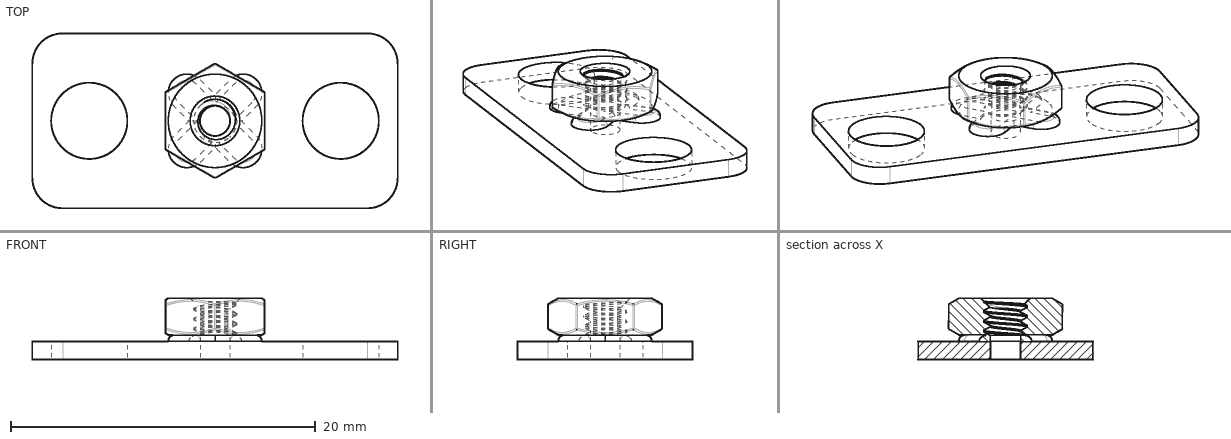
import cadquery as cq
import math

plate_length = 23.98
plate_width = 11.49
plate_thickness = 1.2
plate_corner_radius = 2.0
mount_hole_diameter = 4.99
mount_hole_spacing = 16.5

total_height = 4.03
nut_across_flats = 6.52
nut_edge_radius = 0.12
corner_on_y_turn = 30.0
nut_face_radius = 3.07
nut_chamfer_angle = 30.0
foot_angles = (45, 135)
foot_height = 0.4
foot_offset = 1.85
foot_radius = 1.22
foot_rounding = 0.38

bore_radius = 0.98
countersink_radius = 1.63
thread_pitch = 0.65
thread_root_radius = 1.41
thread_root_width = 0.1
thread_mouth_width = 0.55
thread_start = 0.4
bore_overlap = 0.05

nut_bottom = plate_thickness + foot_height
nut_height = total_height - nut_bottom
nut_corner_radius = nut_across_flats / math.sqrt(3)


def make_plate():
    """Flat plate with round corners, two mounting holes and the bore opening."""
    return (
        cq.Workplane("XY")
        .rect(plate_length, plate_width)
        .extrude(plate_thickness)
        .edges("|Z")
        .fillet(plate_corner_radius)
        .faces(">Z")
        .workplane()
        .rarray(mount_hole_spacing, 0.25, 2, 1)
        .hole(mount_hole_diameter)
        .faces(">Z")
        .workplane()
        .hole(2 * bore_radius)
    )


def make_hexagon():
    """Nut blank with two corners on Y, both ends chamfered by a cone and the flats edged with fillets."""
    prism = (
        cq.Workplane("XY", origin=(0, 0, nut_bottom))
        .polygon(6, 2 * nut_corner_radius)
        .extrude(nut_height)
        .rotate((0, 0, 0), (0, 0, 1), corner_on_y_turn)
    )
    chamfer_drop = (nut_corner_radius - nut_face_radius) * math.tan(math.radians(nut_chamfer_angle))
    chamfer_envelope = (
        cq.Workplane("XZ")
        .moveTo(0, nut_bottom)
        .lineTo(nut_face_radius, nut_bottom)
        .lineTo(nut_corner_radius, nut_bottom + chamfer_drop)
        .lineTo(nut_corner_radius, total_height - chamfer_drop)
        .lineTo(nut_face_radius, total_height)
        .lineTo(0, total_height)
        .close()
        .revolve(360, (0, 0, 0), (0, 1, 0))
    )
    blank = prism.intersect(chamfer_envelope)
    return blank.faces("#Z").edges().fillet(nut_edge_radius)


def make_foot(angle):
    """Round-ended bar under the nut, lying across the axis, with its upper edge rounded."""
    foot_length = 2 * (foot_offset * math.sqrt(2) + foot_radius)
    return (
        cq.Workplane("XY", origin=(0, 0, plate_thickness))
        .slot2D(foot_length, 2 * foot_radius, angle)
        .extrude(foot_height)
        .faces(">Z")
        .edges()
        .fillet(foot_rounding)
    )


def make_thread_groove():
    """Helical groove of trapezoidal section, bounded by ruled faces between its four corner helices."""
    groove_height = total_height + thread_pitch - thread_start
    flank_slope = (thread_mouth_width - thread_root_width) / (thread_root_radius - bore_radius)
    inner_radius = bore_radius - bore_overlap
    inner_width = thread_mouth_width + flank_slope * bore_overlap
    section = [
        (inner_radius, -inner_width / 2),
        (thread_root_radius, -thread_root_width / 2),
        (thread_root_radius, thread_root_width / 2),
        (inner_radius, inner_width / 2),
    ]
    helices = [
        cq.Wire.makeHelix(thread_pitch, groove_height, radius)
        .translate(cq.Vector(0, 0, thread_start + offset))
        for radius, offset in section
    ]
    faces = []
    for helix, next_helix in zip(helices, helices[1:] + helices[:1]):
        faces.extend(cq.Face.makeRuledSurface(helix, next_helix).Faces())
    for end in (0, 1):
        corners = [helix.positionAt(end) for helix in helices]
        faces.append(cq.Face.makeFromWires(cq.Wire.makePolygon(corners, close=True)))
    return cq.Workplane(cq.Solid.makeSolid(cq.Shell.makeShell(faces)))


def make_bore():
    """Through bore with a 45 degree countersink at the top."""
    countersink_depth = countersink_radius - bore_radius
    return (
        cq.Workplane("XZ")
        .moveTo(0, plate_thickness)
        .lineTo(bore_radius, plate_thickness)
        .lineTo(bore_radius, total_height - countersink_depth)
        .lineTo(countersink_radius, total_height)
        .lineTo(0, total_height)
        .close()
        .revolve(360, (0, 0, 0), (0, 1, 0))
    )


def make_weld_nut():
    """Threaded hexagon nut standing on two crossed feet with a plain hole between them."""
    bore = make_bore()
    feet = cq.Workplane("XY")
    for angle in foot_angles:
        feet = feet.union(make_foot(angle))
    hexagon = make_hexagon().cut(make_thread_groove()).cut(bore)
    return hexagon.union(feet.cut(bore))


plate = make_plate()
weld_nut = make_weld_nut()
result = cq.Compound.makeCompound([plate.val(), *weld_nut.vals()])